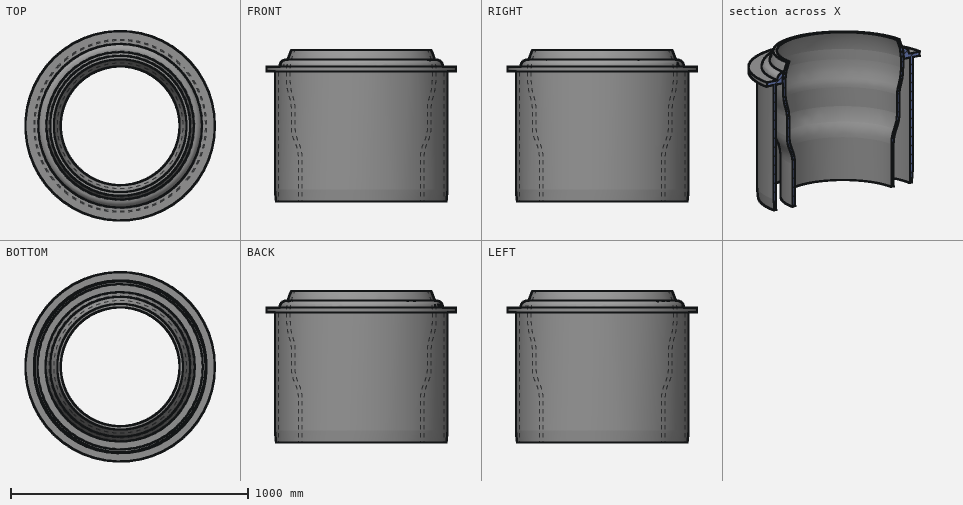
import cadquery as cq
import math

HEIGHT = 640.0
FLANGE_RADIUS = 400.0

PIPE_RADIUS = 730.0 / 2
PIPE_BORE_RADIUS = 698.0 / 2
PIPE_END_RADIUS = 360.0
TAPER_HEIGHT = 50.0
FLANGE_THICKNESS = 20.0
COLLAR_TOP = 599.0
COLLAR_HEIGHT = 30.0
FLANGE_TOP = COLLAR_TOP - COLLAR_HEIGHT
FLANGE_BOTTOM = FLANGE_TOP - FLANGE_THICKNESS

WALL = 15.0
NECK_BORE = 280.0
BULGE_BORE = 300.0
TAIL_BORE = 500.0 / 2
BULGE_UPPER_Z = HEIGHT - 80.0
BULGE_LOWER_Z = HEIGHT - 125.0
NECK_UPPER_Z = HEIGHT - 242.0
NECK_LOWER_Z = HEIGHT - 325.0
BULGE_ARC_HEIGHT = 80.0
STEP_HEIGHT = 128.0

COLLAR_RIDGE_RADIUS = BULGE_BORE + WALL


def arc_to(outline, start, end, vertical_at_start):
    """Add an arc that is vertical at one of its ends."""
    tangent_end, far_end = (start, end) if vertical_at_start else (end, start)
    run = far_end[0] - tangent_end[0]
    rise = far_end[1] - tangent_end[1]
    radius = (run**2 + rise**2) / (2 * abs(run))
    half_angle = math.atan2(abs(run), abs(rise))
    middle = (
        tangent_end[0] + math.copysign(radius * (1 - math.cos(half_angle)), run),
        tangent_end[1] + math.copysign(radius * math.sin(half_angle), rise),
    )
    return outline.threePointArc(middle, end)


def s_curve(outline, start, end, split):
    """Add two tangent arcs, vertical at both ends, meeting at the given fraction."""
    meeting = (
        start[0] + split * (end[0] - start[0]),
        start[1] + split * (end[1] - start[1]),
    )
    outline = arc_to(outline, start, meeting, True)
    return arc_to(outline, meeting, end, False)


def revolve(outline):
    return outline.close().revolve(360, (0, 0, 0), (0, 1, 0))


def liner_solid(offset):
    """Solid of revolution whose side is the liner bore moved outward by offset."""
    mouth = (NECK_BORE + offset, HEIGHT)
    bulge_upper = (BULGE_BORE + offset, BULGE_UPPER_Z)
    bulge_lower = (BULGE_BORE + offset, BULGE_LOWER_Z)
    neck_upper = (NECK_BORE + offset, NECK_UPPER_Z)
    neck_lower = (NECK_BORE + offset, NECK_LOWER_Z)
    tail_upper = (TAIL_BORE + offset, NECK_LOWER_Z - STEP_HEIGHT)
    bulge_split = BULGE_ARC_HEIGHT / (BULGE_LOWER_Z - NECK_UPPER_Z)

    outline = cq.Workplane("XZ").moveTo(0, HEIGHT).lineTo(*mouth)
    outline = arc_to(outline, mouth, bulge_upper, False)
    outline = outline.lineTo(*bulge_lower)
    outline = s_curve(outline, bulge_lower, neck_upper, bulge_split)
    outline = outline.lineTo(*neck_lower)
    outline = s_curve(outline, neck_lower, tail_upper, 0.5)
    outline = outline.lineTo(tail_upper[0], 0).lineTo(0, 0)
    return revolve(outline)


def make_liner():
    return liner_solid(WALL).cut(liner_solid(0))


def make_housing():
    """Pipe, flange and collar in one piece, bored to fit around the liner."""
    outline = (
        cq.Workplane("XZ")
        .moveTo(PIPE_BORE_RADIUS, 0)
        .lineTo(PIPE_END_RADIUS, 0)
        .lineTo(PIPE_RADIUS, TAPER_HEIGHT)
        .lineTo(PIPE_RADIUS, FLANGE_BOTTOM)
        .lineTo(FLANGE_RADIUS, FLANGE_BOTTOM)
        .lineTo(FLANGE_RADIUS, FLANGE_TOP)
        .lineTo(COLLAR_RIDGE_RADIUS + COLLAR_HEIGHT, FLANGE_TOP)
        .threePointArc(
            (COLLAR_RIDGE_RADIUS, COLLAR_TOP),
            (COLLAR_RIDGE_RADIUS - COLLAR_HEIGHT, FLANGE_TOP),
        )
        .lineTo(COLLAR_RIDGE_RADIUS - COLLAR_HEIGHT, FLANGE_BOTTOM)
        .lineTo(PIPE_BORE_RADIUS, FLANGE_BOTTOM)
    )
    return revolve(outline).cut(liner_solid(WALL))


housing = make_housing()
liner = make_liner()

result = cq.Compound.makeCompound([housing.solids().val(), liner.solids().val()])